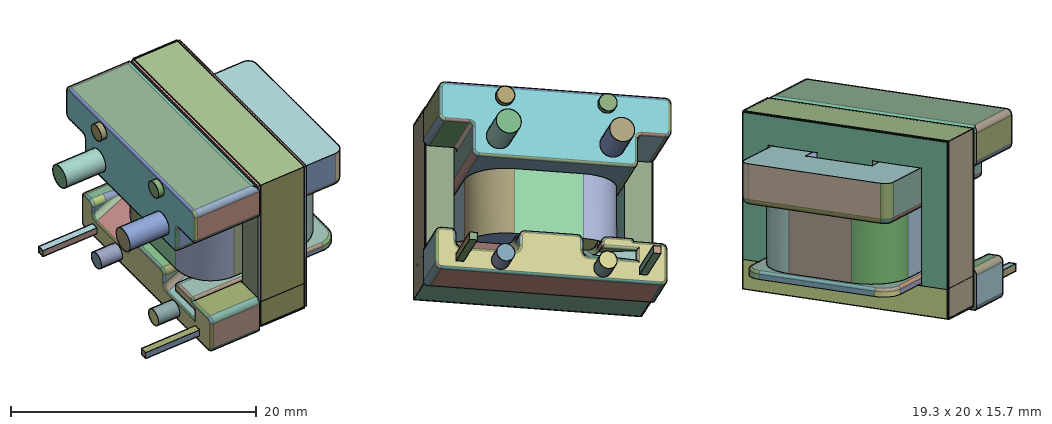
import cadquery as cq
import math

core_front = 10.05
core_depth = 4.7
core_width = 18.85
core_bottom = 0.58
core_height = 14.95
yoke_height = 2.5
outer_leg_width = 2.35
core_back = core_front + core_depth
core_top = core_bottom + core_height
i_core_top = core_bottom + yoke_height
e_yoke_bottom = core_top - yoke_height
window_outer_x = core_width / 2 - outer_leg_width

tape_thickness = 0.075
tape_width = 4.25
tape_front = core_front + (core_depth - tape_width) / 2
tape_back = tape_front + tape_width

edge_radius = 0.25
front_edge_radius = 0.22
corner_radius = 0.5

bobbin_width = 19.3
neck_width = 13.75
head_front = 3.8
head_back = 20.0
head_bottom = 9.45
head_step = 12.25
head_top = 15.65
head_step_radius = 0.3
rear_head_top = 12.95
rear_head_radius = 0.78

base_front = 5.32
base_top = 3.6
plate_bottom = 3.15
plate_top = base_top + edge_radius
plate_back = 19.55
plate_radius = 1.55

drum_width = 12.6
drum_front = 6.3
drum_depth = 12.7
drum_radius = 3.42

opening_width = 5.08
opening_depth = 5.25
funnel_size = 0.52
opening_back = core_front + opening_depth

ramp_angle = 28.0
ramp_start_z = 1.9
ramp_inner_x = 2.65
ramp_outer_x = 7.92
ramp_radius = 0.45
ramp_length = 6.0
rim_run_under_drum = 0.6

lip_x = 4.18
slot_end_x = 7.1
slot_end_depth = 0.28
slot_angle = 19.0
slot_ceiling = 2.85

boss_x = 4.25
boss_diameter = 1.5
boss_tip = 3.25
head_boss_z = 14.65
base_boss_z = 1.02
pin_x = 7.65
pin_z = 1.05
pin_size = 0.65
pin_tip = 0.08

lead_x = 4.72
lead_z = 11.18
lead_diameter = 2.08
lead_bend_y = 13.2


def block(x_range, y_range, z_range):
    """Box from its limits along each axis."""
    size = [high - low for low, high in (x_range, y_range, z_range)]
    return cq.Workplane("XY", origin=(x_range[0], y_range[0], z_range[0])).box(*size, centered=False)


def centred_block(width, y_range, z_range):
    """Box centred on X = 0."""
    return block((-width / 2, width / 2), y_range, z_range)


def side_profile(points, x_range):
    """Closed outline of (y, z) points, extruded along X."""
    profile = cq.Workplane("YZ", origin=(x_range[0], 0, 0)).polyline(points).close()
    return profile.extrude(x_range[1] - x_range[0])


def pick_edges(shape, direction, is_wanted):
    """Edges along a direction whose centre passes a test."""
    return shape.newObject([edge for edge in shape.edges(direction).vals() if is_wanted(edge.Center())])



def make_head_front():
    outer = bobbin_width / 2
    neck = neck_width / 2
    outline = [
        (-neck, head_bottom), (neck, head_bottom), (neck, head_step), (outer, head_step),
        (outer, head_top), (-outer, head_top), (-outer, head_step), (-neck, head_step),
    ]

    def is_inner_corner(point):
        return abs(point.z - head_step) < 0.2 and abs(point.x) < neck + 0.2

    head = cq.Workplane("XZ", origin=(0, head_front, 0)).polyline(outline).close()
    head = head.extrude(head_front - core_front)
    head = pick_edges(head, "|Y", is_inner_corner).fillet(head_step_radius)
    outer_corners = pick_edges(head, "|Y", lambda point: not is_inner_corner(point) and (
        abs(point.x) > outer - 0.2 or point.z < head_bottom + 0.2))
    head = outer_corners.add(head.edges(">Z and >Y")).fillet(corner_radius)
    return head.faces("<Y").edges().fillet(front_edge_radius)


def make_head_rear():
    head = centred_block(neck_width, (head_front, head_back), (head_bottom, rear_head_top))
    head = head.edges("|Z and >Y").fillet(rear_head_radius)
    head = head.faces("<Z").edges("not <Y").fillet(corner_radius)
    return head.intersect(centred_block(bobbin_width, (core_front, head_back), (0, head_top)))


def ramp_space(x_range):
    """Wedge of space above the sloping ramp floor."""
    end_y = base_front + ramp_length
    end_z = ramp_start_z + ramp_length * math.tan(math.radians(ramp_angle))
    return side_profile([(base_front, ramp_start_z), (end_y, end_z), (base_front, end_z)], x_range)


def make_ramp(x_range):
    """Groove cutter with rounded floor corners."""
    ramp = ramp_space(x_range)
    middle_y = base_front + ramp_length / 2
    floor_edges = pick_edges(ramp, "not |X", lambda point: abs(point.y - middle_y) < 0.02
                             and point.z < ramp_start_z + ramp_length / 2)
    return floor_edges.fillet(ramp_radius)


def make_rim_round(x, land_side):
    """Cutter that rounds the upper edge of a ramp wall at x; it ends under the drum.

    land_side is 1 where the plate lies on the +X side of the wall and -1 where it lies on the -X side.
    """
    y_range = (base_front, drum_front + rim_run_under_drum)
    axis_x = x + land_side * corner_radius
    axis_z = plate_top - corner_radius
    corner = block((min(x, axis_x), max(x, axis_x)), y_range, (axis_z, plate_top))
    rod = cq.Workplane("XZ", origin=(axis_x, y_range[0], axis_z)).circle(corner_radius)
    return corner.cut(rod.extrude(y_range[0] - y_range[1]))


def make_slot():
    start_x = lip_x - ramp_radius
    end_y = base_front + slot_end_depth
    start_y = end_y + (slot_end_x - start_x) * math.tan(math.radians(slot_angle))
    plan = [(start_x, base_front), (slot_end_x, base_front), (slot_end_x, end_y), (start_x, start_y)]
    prism = cq.Workplane("XY").polyline(plan).close().extrude(slot_ceiling)
    return prism.intersect(ramp_space((start_x, slot_end_x)))


def make_base():
    front = centred_block(bobbin_width, (base_front, core_front), (0, base_top))
    front = front.edges("|Y").add(front.edges("<Z and >Y")).fillet(corner_radius)
    plate = centred_block(neck_width, (base_front, plate_back), (plate_bottom, plate_top))
    plate = plate.edges("|Z and >Y").fillet(plate_radius)
    plate = plate.faces(">Z").edges("not <Y").fillet(edge_radius)
    base = front.union(plate)
    base = base.cut(make_ramp((-ramp_outer_x, -ramp_inner_x)))
    base = base.cut(make_ramp((ramp_inner_x, lip_x)))
    outer_rim = pick_edges(base, "|Y", lambda point: abs(point.x + ramp_outer_x) < 0.02
                           and point.z > base_top - 0.02)
    base = outer_rim.fillet(corner_radius)
    base = base.cut(make_rim_round(-ramp_inner_x, 1))
    base = base.cut(make_rim_round(ramp_inner_x, -1))
    base = base.cut(make_rim_round(lip_x, 1))
    base = base.cut(make_slot())
    return base.faces("<Y").edges().fillet(front_edge_radius)


def make_drum():
    y_range = (drum_front, drum_front + drum_depth)
    drum = centred_block(drum_width, y_range, (plate_top, head_bottom))
    return drum.edges("|Z").fillet(drum_radius)


def make_leg_opening():
    y_range = (core_front, opening_back)
    opening = centred_block(opening_width, y_range, (0, rear_head_top))
    funnel = (
        cq.Workplane("XY", origin=(0, core_front + opening_depth / 2, rear_head_top))
        .rect(opening_width + 2 * funnel_size, opening_depth + 2 * funnel_size)
        .extrude(-funnel_size, taper=45)
        .intersect(centred_block(bobbin_width, (core_front, head_back), (0, head_top)))
    )
    return opening.union(funnel)


def make_boss(x, z, face_y):
    return cq.Workplane("XZ", origin=(x, face_y, z)).circle(boss_diameter / 2).extrude(face_y - boss_tip)


def make_pin(x):
    pin = cq.Workplane("XZ", origin=(x, base_front, pin_z)).rect(pin_size, pin_size)
    return pin.extrude(base_front - pin_tip)


def make_bobbin(lead):
    bobbin = make_head_front().union(make_head_rear()).union(make_base()).union(make_drum())
    bobbin = bobbin.cut(make_leg_opening()).cut(lead)
    for side in (-1, 1):
        bobbin = bobbin.union(make_boss(side * boss_x, head_boss_z, head_front))
        bobbin = bobbin.union(make_boss(side * boss_x, base_boss_z, base_front))
        bobbin = bobbin.union(make_pin(side * pin_x))
    return bobbin



def make_lead():
    path = (
        cq.Workplane("XY", origin=(0, 0, lead_z))
        .moveTo(-lead_x, 0)
        .lineTo(-lead_x, lead_bend_y)
        .threePointArc((0, lead_bend_y + lead_x), (lead_x, lead_bend_y))
        .lineTo(lead_x, 0)
    )
    return cq.Workplane("XZ", origin=(-lead_x, 0, lead_z)).circle(lead_diameter / 2).sweep(path)



def make_e_core():
    y_range = (core_front, core_back)
    e_core = centred_block(core_width, y_range, (i_core_top, core_top))
    windows = centred_block(2 * window_outer_x, y_range, (i_core_top, e_yoke_bottom))
    middle_leg = centred_block(opening_width, y_range, (i_core_top, e_yoke_bottom))
    return e_core.cut(windows).union(middle_leg)


def make_i_core():
    return centred_block(core_width, (core_front, core_back), (core_bottom, i_core_top))


def make_tape():
    y_range = (tape_front, tape_back)
    outside = centred_block(
        core_width + 2 * tape_thickness,
        y_range,
        (core_bottom - tape_thickness, core_top + tape_thickness),
    )
    return outside.cut(centred_block(core_width, y_range, (core_bottom, core_top)))


lead = make_lead()
bobbin = make_bobbin(lead)
e_core = make_e_core()
i_core = make_i_core()
tape = make_tape()

bodies = (bobbin, lead, e_core, i_core, tape)
result = cq.Compound.makeCompound([body.solids().val() for body in bodies])